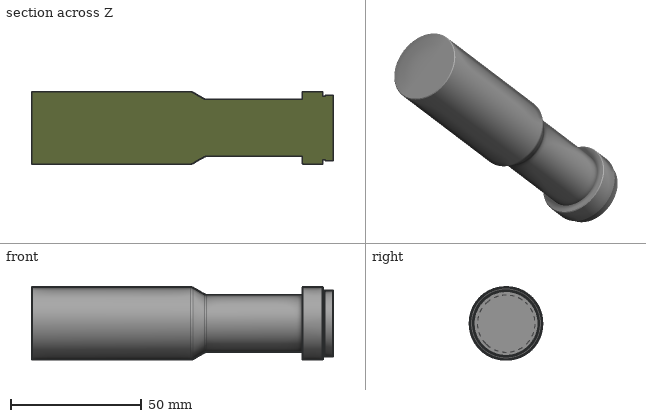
import cadquery as cq
import math

overall_length = 115.7
handle_radius = 14.0
neck_radius = 11.0
collar_radius = 14.0
spigot_radius = 12.7
groove_radius = 12.3

handle_length = 61.4
taper_angle = math.radians(30)
shoulder_blend_radius = 2.0
neck_blend_radius = 1.5

collar_start = 103.7
collar_length = 8.0
groove_width = 0.7

edge_chamfer = 0.3

taper_length = (handle_radius - neck_radius) / math.tan(taper_angle)
taper_end = handle_length + taper_length
collar_end = collar_start + collar_length
groove_end = collar_end + groove_width


def make_turned_body():
    """Revolve the half outline, from the handle end to the spigot tip, about X."""
    outline = [
        (0, 0),
        (0, handle_radius - edge_chamfer),
        (edge_chamfer, handle_radius),
        (handle_length, handle_radius),
        (taper_end, neck_radius),
        (collar_start, neck_radius),
        (collar_start, collar_radius - edge_chamfer),
        (collar_start + edge_chamfer, collar_radius),
        (collar_end - edge_chamfer, collar_radius),
        (collar_end, collar_radius - edge_chamfer),
        (collar_end, groove_radius),
        (groove_end, groove_radius),
        (groove_end, spigot_radius),
        (overall_length - edge_chamfer, spigot_radius),
        (overall_length, spigot_radius - edge_chamfer),
        (overall_length, 0),
    ]
    return cq.Workplane("XZ").polyline(outline).close().revolve(360, (0, 0, 0), (1, 0, 0))


def round_corner(body, position, blend_radius):
    """Fillet the circular edge that lies at one axial position."""
    half_window = 0.01
    reach = 2 * handle_radius
    low_corner = (position - half_window, -reach, -reach)
    high_corner = (position + half_window, reach, reach)
    return body.edges(cq.selectors.BoxSelector(low_corner, high_corner)).fillet(blend_radius)


result = make_turned_body()
result = round_corner(result, handle_length, shoulder_blend_radius)
result = round_corner(result, taper_end, neck_blend_radius)